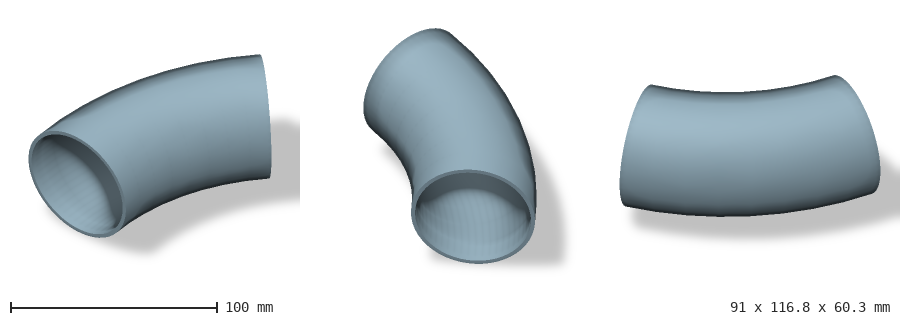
import cadquery as cq
import math

overall_length = 116.8
outer_diameter = 60.3
wall_thickness = 2.0
bend_angle = 45.0

outer_radius = outer_diameter / 2
inner_radius = outer_radius - wall_thickness
outside_bend_radius = overall_length / math.sin(math.radians(bend_angle))
bend_radius = outside_bend_radius - outer_radius

pipe_section = cq.Workplane("XZ").circle(outer_radius).circle(inner_radius)
axis_start = (bend_radius, 0)
axis_end = (bend_radius, -1)

result = pipe_section.revolve(bend_angle, axis_start, axis_end)